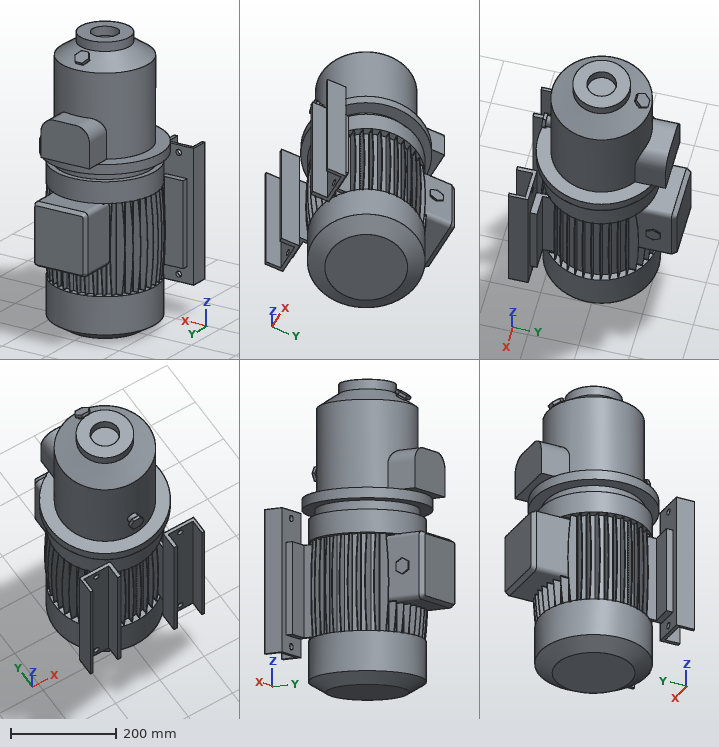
import cadquery as cq
import math

TOTAL_HEIGHT = 597.0
COWL_CHAMFER_TOP = 20.0
FIN_BOTTOM = 98.5
FIN_TOP = 289.0
COLLAR_TOP = 334.0
FLANGE_BOTTOM = 353.5
FLANGE_TOP = 374.0
CONE_BOTTOM = 550.0
CONE_TOP = 578.0

COWL_BASE_RADIUS = 79.0
MOTOR_RADIUS = 112.0
FIN_ROOT_RADIUS = 99.0
NECK_RADIUS = 100.0
FLANGE_RADIUS = 125.0
HOUSING_RADIUS = 97.0
SPOUT_RADIUS = 55.0
BORE_RADIUS = 28.0
BORE_DEPTH = TOTAL_HEIGHT - CONE_TOP

FIN_TIP_RADIUS = 110.0
FIN_THICKNESS = 2.0
FIN_BULGE = 6.0
FIN_ANGLE_STEP = 8.6
FIN_PAIRS = 5

TERMINAL_WIDTH = 121.0
TERMINAL_BACK = 162.0
TERMINAL_BOTTOM = 156.5
TERMINAL_TOP = FIN_TOP
TERMINAL_ROUNDING = 10.0
TERMINAL_CHAMFER_DEPTH = 9.5
TERMINAL_CHAMFER_INSET = 6.0

RAIL_OUTER_X = 129.0
RAIL_INNER_X = 59.5
RAIL_WEB_Y = -111.5
RAIL_FRONT_Y = -150.5
RAIL_BOTTOM = 68.5
RAIL_TOP = 348.5
RAIL_OUTER_WALL = 6.0
RAIL_INNER_WALL = 8.0
RAIL_WEB = 7.0
RAIL_HOLE_DIAMETER = 12.0
RAIL_HOLE_X = 95.0
RAIL_HOLE_INSET = 15.5
FOOT_INNER_X = 65.5
FOOT_OUTER_X = 114.0
FOOT_BACK_Y = -98.0
FOOT_RIB_OUTER_X = 71.5
FOOT_END_GAP = 5.5

DISCHARGE_WIDTH = 110.5
DISCHARGE_BACK = 139.5
DISCHARGE_TOP = 456.0
DISCHARGE_ROUNDING = 30.5

PLUG_FLATS = 27.5
PLUG_SHANK_DIAMETER = 22.0
PLUG_HEAD = 6.5
DRAIN_PLUG_HEIGHT = 434.0
DRAIN_PLUG_REACH = 17.5
FILL_PLUG_REACH = 10.0
GLAND_REACH = 5.5
GLAND_HEAD = 3.0
GLAND_Y = 117.5

OVERLAP = 6.0


def block(x_range, y_range, z_range):
    """Box between the given limits, each given as (low, high)."""
    sizes = [high - low for low, high in (x_range, y_range, z_range)]
    corner = (x_range[0], y_range[0], z_range[0])
    return cq.Workplane("XY").box(*sizes, centered=False).translate(corner)


def hex_plug(surface_point, outward, reach, head):
    """Plug with a hexagon head, standing `reach` out of a surface."""
    across = (0, 0, 1) if outward[0] else (1, 0, 0)
    plane = cq.Plane(origin=surface_point, xDir=across, normal=outward)
    shank = (
        cq.Workplane(plane)
        .workplane(offset=-OVERLAP)
        .circle(PLUG_SHANK_DIAMETER / 2)
        .extrude(OVERLAP + reach - head)
    )
    corner_diameter = PLUG_FLATS / math.cos(math.pi / 6)
    hexagon = cq.Workplane(plane).workplane(offset=reach - head).polygon(6, corner_diameter).extrude(head)
    return shank.union(hexagon)


def motor_core():
    outline = [
        (0, 0),
        (COWL_BASE_RADIUS, 0),
        (MOTOR_RADIUS, COWL_CHAMFER_TOP),
        (MOTOR_RADIUS, FIN_BOTTOM),
        (FIN_ROOT_RADIUS, FIN_BOTTOM),
        (FIN_ROOT_RADIUS, FIN_TOP),
        (MOTOR_RADIUS, FIN_TOP),
        (MOTOR_RADIUS, COLLAR_TOP),
        (NECK_RADIUS, COLLAR_TOP),
        (NECK_RADIUS, FLANGE_BOTTOM),
        (FLANGE_RADIUS, FLANGE_BOTTOM),
        (FLANGE_RADIUS, FLANGE_TOP),
        (0, FLANGE_TOP),
    ]
    return cq.Workplane("XZ").polyline(outline).close().revolve(360, (0, 0), (0, 1))


def fin_offset(index):
    """Distance of a fin from the middle of its bank, counted outward from the middle."""
    return MOTOR_RADIUS * math.sin(math.radians((index + 0.5) * FIN_ANGLE_STEP))


def fin(offset):
    """Upright slab pointing along +X at the given Y, with a bowed outer edge."""
    root = math.sqrt(FIN_ROOT_RADIUS**2 - offset**2) - OVERLAP
    tip = math.sqrt(FIN_TIP_RADIUS**2 - offset**2)
    middle = (FIN_BOTTOM + FIN_TOP) / 2
    return (
        cq.Workplane("XZ", origin=(0, offset + FIN_THICKNESS / 2, 0))
        .moveTo(root, FIN_BOTTOM)
        .lineTo(tip, FIN_BOTTOM)
        .threePointArc((tip + FIN_BULGE, middle), (tip, FIN_TOP))
        .lineTo(root, FIN_TOP)
        .close()
        .extrude(FIN_THICKNESS)
    )


def fin_bank():
    """All fins of the +X side, parallel to each other."""
    bank = cq.Workplane()
    for index in range(FIN_PAIRS):
        offset = fin_offset(index)
        bank = bank.add(fin(offset)).add(fin(-offset))
    return bank


def terminal_box():
    half_width = TERMINAL_WIDTH / 2
    box = block((-half_width, half_width), (0, TERMINAL_BACK), (TERMINAL_BOTTOM, TERMINAL_TOP))
    rounded = box.edges("|Y").fillet(TERMINAL_ROUNDING)
    return rounded.faces(">Y").chamfer(TERMINAL_CHAMFER_INSET, TERMINAL_CHAMFER_DEPTH)


def cable_gland():
    middle = (TERMINAL_BOTTOM + TERMINAL_TOP) / 2
    return hex_plug((TERMINAL_WIDTH / 2, GLAND_Y, middle), (1, 0, 0), GLAND_REACH, GLAND_HEAD)


def foot():
    """Foot on the +X side: a pad for the rail and a rib that joins it to the outermost fin."""
    heights = (FIN_BOTTOM + FOOT_END_GAP, FIN_TOP - FOOT_END_GAP)
    pad = block((FOOT_INNER_X, FOOT_OUTER_X), (RAIL_WEB_Y, FOOT_BACK_Y), heights)
    rib_back = -fin_offset(FIN_PAIRS - 1)
    rib = block((FOOT_INNER_X, FOOT_RIB_OUTER_X), (FOOT_BACK_Y, rib_back), heights)
    return pad.union(rib)


def rail():
    """Channel on the +X side, open to the front, with a hole near each end of its web."""
    heights = (RAIL_BOTTOM, RAIL_TOP)
    channel = block((RAIL_INNER_X, RAIL_OUTER_X), (RAIL_FRONT_Y, RAIL_WEB_Y), heights)
    groove_x = (RAIL_INNER_X + RAIL_INNER_WALL, RAIL_OUTER_X - RAIL_OUTER_WALL)
    channel = channel.cut(block(groove_x, (RAIL_FRONT_Y, RAIL_WEB_Y - RAIL_WEB), heights))
    for height in (RAIL_BOTTOM + RAIL_HOLE_INSET, RAIL_TOP - RAIL_HOLE_INSET):
        hole = (
            cq.Workplane("XZ", origin=(RAIL_HOLE_X, RAIL_WEB_Y, height))
            .circle(RAIL_HOLE_DIAMETER / 2)
            .extrude(RAIL_WEB)
        )
        channel = channel.cut(hole)
    return channel


def make_motor():
    motor = motor_core()
    bank = fin_bank()
    for quarter_turn in range(4):
        for slab in bank.vals():
            motor = motor.union(cq.Workplane(slab.rotate((0, 0, 0), (0, 0, 1), 90 * quarter_turn)))
    motor = motor.union(terminal_box()).union(cable_gland())
    mount = foot().union(rail())
    return motor.union(mount).union(mount.mirror("YZ"))


def pump_housing():
    outline = [
        (0, FLANGE_TOP),
        (HOUSING_RADIUS, FLANGE_TOP),
        (HOUSING_RADIUS, CONE_BOTTOM),
        (SPOUT_RADIUS, CONE_TOP),
        (SPOUT_RADIUS, TOTAL_HEIGHT),
        (BORE_RADIUS, TOTAL_HEIGHT),
        (BORE_RADIUS, TOTAL_HEIGHT - BORE_DEPTH),
        (0, TOTAL_HEIGHT - BORE_DEPTH),
    ]
    return cq.Workplane("XZ").polyline(outline).close().revolve(360, (0, 0), (0, 1))


def discharge_box():
    half_width = DISCHARGE_WIDTH / 2
    box = block((-half_width, half_width), (0, DISCHARGE_BACK), (FLANGE_TOP, DISCHARGE_TOP))
    return box.edges("|Y and >Z").fillet(DISCHARGE_ROUNDING)


def drain_plug():
    return hex_plug((0, -HOUSING_RADIUS, DRAIN_PLUG_HEIGHT), (0, -1, 0), DRAIN_PLUG_REACH, PLUG_HEAD)


def fill_plug():
    """Plug square to the cone, halfway up it at the back."""
    cone_middle = (0, (HOUSING_RADIUS + SPOUT_RADIUS) / 2, (CONE_BOTTOM + CONE_TOP) / 2)
    cone_normal = (0, CONE_TOP - CONE_BOTTOM, HOUSING_RADIUS - SPOUT_RADIUS)
    return hex_plug(cone_middle, cone_normal, FILL_PLUG_REACH, PLUG_HEAD)


def make_pump():
    return pump_housing().union(discharge_box()).union(drain_plug()).union(fill_plug())


motor = make_motor()
pump = make_pump()

result = cq.Compound.makeCompound([motor.val(), pump.val()])